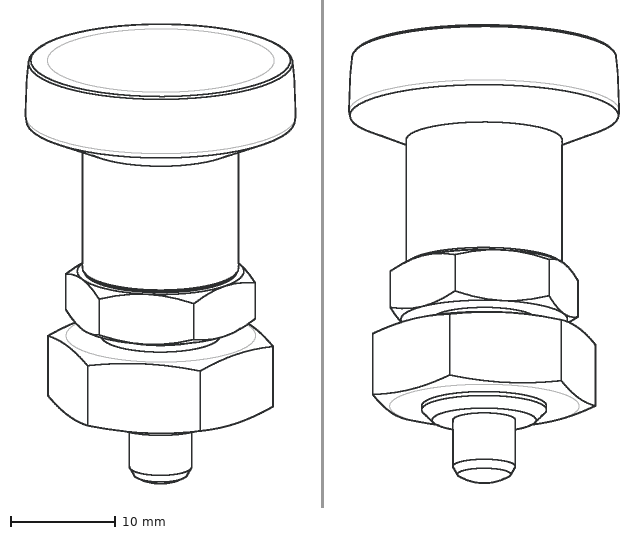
import cadquery as cq
import math

tip_shoulder_z = 0.75
pin_shoulder_z = 1.53
thread_bottom_z = 6.1
lock_nut_z = 7.5
lock_nut_height = 7.15
thread_top_z = 15.1
body_hex_z = 16.05
body_hex_height = 5.0
sleeve_z = 21.35
knob_z = 33.75
rim_z = 36.15
knob_face_z = 42.15
total_height = 43.6

pin_radius = 6.0 / 2
tip_radius = 2.57
thread_radius = 12.0 / 2
neck_radius = 10.0 / 2
sleeve_radius = 15.0 / 2
knob_radius = 26.0 / 2
knob_face_radius = 12.7
dome_radius = 10.9

rim_band = 0.5
rim_undercut = 0.1
face_edge_round = 0.2
side_bulge = 0.1

thread_chamfer = thread_radius - neck_radius
thread_top_angle = 30
sleeve_chamfer = 0.17

lock_nut_flats = 19.0
lock_nut_face_diameter = 18.22
lock_nut_chamfer_angle = 17
body_hex_flats = 16.0
body_hex_face_diameter = body_hex_flats
body_hex_chamfer_angle = 30


def chamfered_hex(flats, face_diameter, height, base_z, chamfer_angle):
    """Hexagon with flats facing +X and -X and both ends turned to a cone."""
    face_radius = face_diameter / 2
    corner_radius = flats / 2 / math.cos(math.radians(30))
    drop = (corner_radius - face_radius) * math.tan(math.radians(chamfer_angle))
    hexagon = (
        cq.Workplane("XY", origin=(0, 0, base_z))
        .polygon(6, 2 * corner_radius)
        .extrude(height)
        .rotate((0, 0, 0), (0, 0, 1), 30)
    )
    top_z = base_z + height
    envelope = (
        cq.Workplane("XZ")
        .moveTo(0, base_z)
        .lineTo(face_radius, base_z)
        .lineTo(corner_radius, base_z + drop)
        .lineTo(corner_radius, top_z - drop)
        .lineTo(face_radius, top_z)
        .lineTo(0, top_z)
        .close()
        .revolve(360, (0, 0), (0, 1))
    )
    return hexagon.intersect(envelope)


def spherical_cap_mid(radius, height):
    """Radial position and height of the middle of a cap's arc, above the cap's base."""
    sphere_radius = (radius**2 + height**2) / (2 * height)
    half_angle = math.asin(radius / sphere_radius) / 2
    mid_height = height - sphere_radius * (1 - math.cos(half_angle))
    return sphere_radius * math.sin(half_angle), mid_height


def turned_core():
    """Pin, threaded shank, neck, sleeve and knob as one revolved profile."""
    tip_mid_r, tip_mid_h = spherical_cap_mid(tip_radius, tip_shoulder_z)
    dome_mid_r, dome_mid_h = spherical_cap_mid(dome_radius, total_height - knob_face_z)
    body_hex_mid_z = body_hex_z + body_hex_height / 2
    thread_top_drop = thread_chamfer * math.tan(math.radians(thread_top_angle))
    side_bottom_z = rim_z + rim_band
    side_top_z = knob_face_z - face_edge_round
    side_mid_r = (knob_radius + knob_face_radius) / 2 + side_bulge
    side_mid_z = (side_bottom_z + side_top_z) / 2
    return (
        cq.Workplane("XZ")
        .moveTo(0, 0)
        .threePointArc((tip_mid_r, tip_shoulder_z - tip_mid_h), (tip_radius, tip_shoulder_z))
        .lineTo(pin_radius, pin_shoulder_z)
        .lineTo(pin_radius, thread_bottom_z)
        .lineTo(neck_radius, thread_bottom_z)
        .lineTo(thread_radius, thread_bottom_z + thread_chamfer)
        .lineTo(thread_radius, thread_top_z - thread_top_drop)
        .lineTo(neck_radius, thread_top_z)
        .lineTo(neck_radius, body_hex_mid_z)
        .lineTo(sleeve_radius - sleeve_chamfer, body_hex_mid_z)
        .lineTo(sleeve_radius - sleeve_chamfer, sleeve_z - sleeve_chamfer)
        .lineTo(sleeve_radius, sleeve_z)
        .lineTo(sleeve_radius, knob_z)
        .lineTo(knob_radius - rim_undercut, rim_z)
        .lineTo(knob_radius, side_bottom_z)
        .threePointArc((side_mid_r, side_mid_z), (knob_face_radius, side_top_z))
        .lineTo(knob_face_radius - face_edge_round, knob_face_z)
        .lineTo(dome_radius, knob_face_z)
        .threePointArc((dome_mid_r, knob_face_z + dome_mid_h), (0, total_height))
        .close()
        .revolve(360, (0, 0), (0, 1))
    )


lock_nut = chamfered_hex(
    lock_nut_flats, lock_nut_face_diameter, lock_nut_height, lock_nut_z, lock_nut_chamfer_angle
)
body_hex = chamfered_hex(
    body_hex_flats, body_hex_face_diameter, body_hex_height, body_hex_z, body_hex_chamfer_angle
)
result = turned_core().union(lock_nut).union(body_hex)